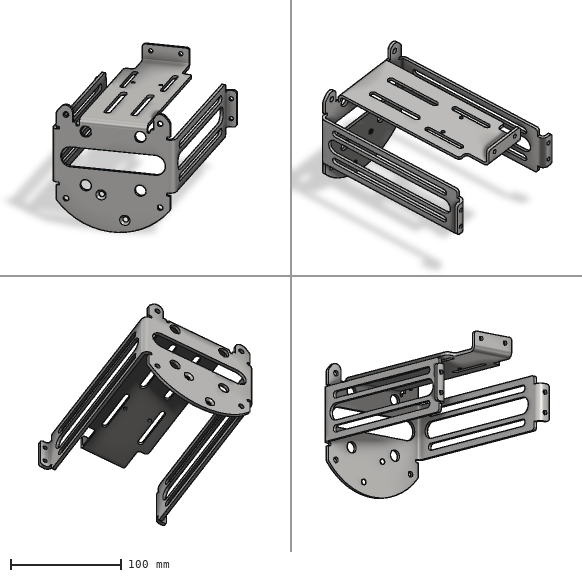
import cadquery as cq
thickness = 3.0
bend_radius = 2 * thickness
total_depth = 169.7
overall_width = 134.0
corner_radius = 3.0

disc_radius = 68.2
plate_half_width = 53.8
upper_corner_radius = 6.0
lower_corner_radius = 3.0
ear_inner_x = 38.4
ear_top_radius = 6.3
ledge_z = 34.0
ledge_radius = 2.0
relief_width = 2.9
relief_overrun = 1.5

side_reach = 58.2
side_tab_reach = overall_width / 2
side_half_width = 25.5
side_tab_half_width = 17.5
side_step_y = 162.1
top_reach = 37.9
top_tab_reach = 54.0
top_half_width = 32.0
top_tab_half_width = 22.2
top_step_y = 143.0
side_bend_x = side_reach - bend_radius
top_bend_z = top_reach - bend_radius

window_length = 98.8
window_height = 19.2
large_hole_diameter = 10.5
large_hole_offset = 25.8
screw_hole_diameter = 5.1
screw_hole_x = 44.5
screw_hole_z = 40.2
countersink_diameter = 9.7
countersink_angle = 90
countersink_centers = [(-11.2, -33.5), (11.2, -55.7)]

tab_hole_diameter = 3.9
side_tab_hole_x = 62.0
side_tab_hole_z = 9.5
top_tab_hole_x = 14.3
top_tab_hole_z = 47.9

selection_margin = 0.2

side_slots = [
    (15.5, 149.4, 6.6, 15.8),
    (10.7, 154.0, 16.0, 0.0),
    (15.5, 149.4, 6.6, -15.8),
]

top_slots = [
    (21.9, 79.8, 6.1, 12.7),
    (92.5, 136.0, 5.1, 19.0),
]
pin_hole_diameter = 3.2
pin_hole_x = 13.0
pin_hole_y = 107.8


def edges_within(x_limit, y_range, z_range):
    """Selector for edges centred in a box with |x| up to x_limit and the given y and z ranges."""
    (y0, y1), (z0, z1) = y_range, z_range
    gap = selection_margin
    return cq.selectors.BoxSelector((-x_limit - gap, y0 - gap, z0 - gap), (x_limit + gap, y1 + gap, z1 + gap))


def round_cut_y(points, diameter):
    """Cylinders along Y through the whole part, at (x, z) points."""
    drill = cq.Workplane("XZ").pushPoints(points).circle(diameter / 2)
    return drill.extrude(-total_depth)


def four_holes(x, z, diameter):
    """Drill cylinders at the four mirrored positions of (x, z)."""
    return round_cut_y([(x, z), (x, -z), (-x, z), (-x, -z)], diameter)


def slot_bar(plane, start, end, width, offset, depth):
    """Round-ended bar running along the first axis of the plane, centred on it."""
    bar = cq.Workplane(plane).center((start + end) / 2, offset)
    return bar.slot2D(end - start, width).extrude(depth, both=True)


def box_between(x_range, z_range):
    """Block through the plate thickness, spanning the given x and z ranges."""
    (x0, x1), (z0, z1) = x_range, z_range
    block = cq.Workplane("XY").box(x1 - x0, 2 * thickness, z1 - z0, centered=False)
    return block.translate((x0, -thickness / 2, z0))


def plate_blank():
    """Trimmed disc with two ears standing beside the top bend."""
    disc = cq.Workplane("XZ").circle(disc_radius).extrude(-thickness)
    sides = box_between((-plate_half_width, plate_half_width), (-disc_radius, disc_radius))
    blank = disc.intersect(sides)
    blank = blank.edges("|Y").edges(">Z").fillet(upper_corner_radius)
    blank = blank.edges("|Y").edges("<Z").fillet(lower_corner_radius)
    blank = blank.cut(box_between((-ear_inner_x, ear_inner_x), (ledge_z, disc_radius)))
    blank = blank.edges("|Y and >Z").fillet(ear_top_radius)

    gap_half_width = top_half_width + relief_width
    blank = blank.cut(box_between((-gap_half_width, gap_half_width), (top_bend_z, disc_radius)))
    ledge_corners = edges_within(gap_half_width, (0, thickness), (ledge_z, ledge_z))
    return blank.edges("|Y").edges(ledge_corners).fillet(ledge_radius)


def bend_reliefs():
    """Round-ended notches at both ends of each of the three bend lines."""
    cuts = cq.Workplane("XY")
    for side in (-1, 1):
        side_z = side * (side_half_width + relief_width / 2)
        notch = slot_bar("XZ", side_bend_x - relief_overrun, side_reach, relief_width, side_z, thickness)
        top_x = side * (top_half_width + relief_width / 2)
        top_notch = slot_bar("ZX", top_bend_z - relief_overrun, top_reach, relief_width, top_x, thickness)
        cuts = cuts.add(notch).add(notch.mirror("YZ")).add(top_notch)
    return cuts.combine()


def front_plate():
    """Flat plate with room for the three bends and all of its holes."""
    plate = plate_blank()
    for x_range in ((side_bend_x, side_reach), (-side_reach, -side_bend_x)):
        plate = plate.cut(box_between(x_range, (-side_half_width, side_half_width)))
    plate = plate.cut(bend_reliefs())

    half_window = window_length / 2
    plate = plate.cut(slot_bar("XZ", -half_window, half_window, window_height, 0, thickness))
    plate = plate.cut(four_holes(large_hole_offset, large_hole_offset, large_hole_diameter))
    plate = plate.cut(four_holes(screw_hole_x, screw_hole_z, screw_hole_diameter))
    return plate.faces("<Y").workplane(origin=(0, 0, 0)).pushPoints(countersink_centers).cskHole(
        screw_hole_diameter, countersink_diameter, countersink_angle
    )


def flange(reach, tab_reach, half_width, tab_half_width, step_y, inner_corner_radius):
    """Wall bent back from the plate with an outward tab; it faces +X and its width lies along Z."""
    inner_radius = bend_radius - thickness
    bend_start = reach - bend_radius
    rear_bend_y = total_depth - bend_radius
    tab_start = reach + inner_radius
    tab_front_y = total_depth - thickness
    strip = (
        cq.Workplane("XY", origin=(0, 0, -half_width))
        .moveTo(bend_start, 0)
        .radiusArc((reach, bend_radius), -bend_radius)
        .lineTo(reach, rear_bend_y)
        .radiusArc((tab_start, tab_front_y), inner_radius)
        .lineTo(tab_reach, tab_front_y)
        .lineTo(tab_reach, total_depth)
        .lineTo(tab_start, total_depth)
        .radiusArc((reach - thickness, rear_bend_y), -bend_radius)
        .lineTo(reach - thickness, bend_radius)
        .radiusArc((bend_start, thickness), inner_radius)
        .close()
        .extrude(2 * half_width)
    )
    body = cq.Workplane("XY").box(tab_reach, step_y, 2 * half_width, centered=(False, False, True))
    body = body.faces(">Y").edges("|X").fillet(corner_radius)
    tab = cq.Workplane("XY").box(tab_reach, total_depth, 2 * tab_half_width, centered=(False, False, True))
    outline = body.union(tab)
    if inner_corner_radius > 0:
        inner_corners = edges_within(tab_reach, (step_y, step_y), (-tab_half_width, tab_half_width))
        outline = outline.edges("|X").edges(inner_corners).fillet(inner_corner_radius)
    bent = strip.intersect(outline)
    return bent.faces(">X").edges("|Y").fillet(corner_radius)


def side_wall():
    """Wall on the +X side with three slots and two tab holes."""
    wall = flange(side_reach, side_tab_reach, side_half_width, side_tab_half_width, side_step_y, 0)
    for start, end, width, z in side_slots:
        wall = wall.cut(slot_bar("YZ", start, end, width, z, side_tab_reach))
    holes = [(side_tab_hole_x, side_tab_hole_z), (side_tab_hole_x, -side_tab_hole_z)]
    return wall.cut(round_cut_y(holes, tab_hole_diameter))


def top_wall():
    """Flange turned to face +Z, with four slots, two pin holes and two tab holes."""
    wall = flange(top_reach, top_tab_reach, top_half_width, top_tab_half_width, top_step_y, corner_radius)
    wall = wall.rotate((0, 0, 0), (0, 1, 0), -90)
    for side in (-1, 1):
        for start, end, width, offset in top_slots:
            bar = slot_bar("YZ", start, end, width, side * offset, top_tab_reach)
            wall = wall.cut(bar.rotate((0, 0, 0), (0, 1, 0), 90))
    holes = [(top_tab_hole_x, top_tab_hole_z), (-top_tab_hole_x, top_tab_hole_z)]
    wall = wall.cut(round_cut_y(holes, tab_hole_diameter))
    pins = cq.Workplane("XY").pushPoints([(pin_hole_x, pin_hole_y), (-pin_hole_x, pin_hole_y)])
    return wall.cut(pins.circle(pin_hole_diameter / 2).extrude(top_reach))


right_wall = side_wall()
left_wall = right_wall.mirror("YZ")
result = front_plate().union(right_wall).union(left_wall).union(top_wall())